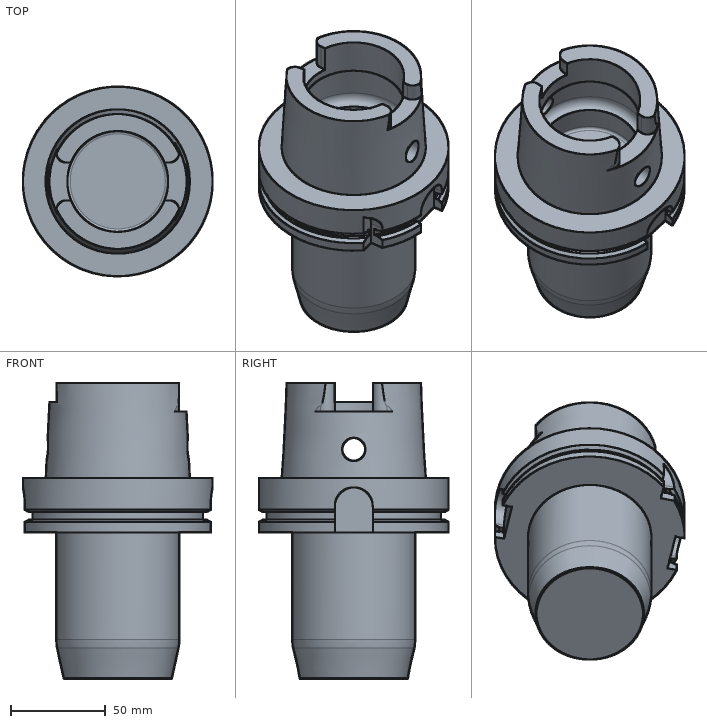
import cadquery as cq
import math


flange_radius = 99.93 / 2
flange_height = 28.7
groove_center_z = -20.0
groove_floor_radius = 46.0
groove_width = 4.0
groove_chamfer_height = 1.3
groove_chamfer_angle = 30.0

shank_length = 50.0
taper_base_radius = 38.0
taper_top_radius = 35.5

nose_radius = 32.5
nose_bottom_z = -105.9
nose_blend_top_z = -85.0
nose_blend_bottom_z = -89.5
nose_cone_angle = 12.0
nose_tip_chamfer = 0.5

mouth_radius = 53.06 / 2
mouth_bottom_z = 30.0
chamber_radius = 63.09 / 2
chamber_round_top_z = 9.6
chamber_bottom_z = chamber_round_top_z - (chamber_radius - mouth_radius)
pocket_round_radius = 1.5
pocket_bottom_z = -11.7

cross_hole_diameter = 12.0
cross_hole_z = 15.0

drive_slot_width = 20.0
drive_slot_depth_left = 10.0
drive_slot_depth_right = 15.0
drive_corner_radius = 5.0
drive_corner_reach = 32.25
drive_flat_length = 6.0

keyway_width = 20.0
keyway_top_z = -5.0
keyway_floor_distance = 44.0
side_notch_center_y = 41.5
side_notch_floor_distance = 31.6


def make_body():
    """Revolve the solid outer shape."""
    groove_top_z = groove_center_z + groove_width / 2
    groove_bottom_z = groove_center_z - groove_width / 2
    groove_chamfer_reach = groove_chamfer_height / math.tan(math.radians(groove_chamfer_angle))
    groove_lip_radius = flange_radius - groove_chamfer_reach
    cone_angle = math.radians(nose_cone_angle)
    blend_length = nose_blend_top_z - nose_blend_bottom_z
    blend_bottom_radius = nose_radius - blend_length * math.tan(cone_angle / 2)
    tip_radius = blend_bottom_radius - (nose_blend_bottom_z - nose_bottom_z) * math.tan(cone_angle)
    profile = (
        cq.Workplane("XZ")
        .moveTo(0, shank_length)
        .lineTo(taper_top_radius, shank_length)
        .lineTo(taper_base_radius, 0)
        .lineTo(flange_radius, 0)
        .lineTo(flange_radius, groove_top_z + groove_chamfer_height)
        .lineTo(groove_lip_radius, groove_top_z)
        .lineTo(groove_floor_radius, groove_top_z)
        .lineTo(groove_floor_radius, groove_bottom_z)
        .lineTo(groove_lip_radius, groove_bottom_z)
        .lineTo(flange_radius, groove_bottom_z - groove_chamfer_height)
        .lineTo(flange_radius, -flange_height)
        .lineTo(nose_radius, -flange_height)
        .lineTo(nose_radius, nose_blend_top_z)
        .tangentArcPoint((blend_bottom_radius, nose_blend_bottom_z), relative=False)
        .lineTo(tip_radius, nose_bottom_z + nose_tip_chamfer)
        .lineTo(tip_radius - nose_tip_chamfer, nose_bottom_z)
        .lineTo(0, nose_bottom_z)
        .close()
    )
    return profile.revolve(360, (0, 0, 0), (0, 1, 0))


def make_bore():
    """Revolve the blind bore, with its chamber and pocket rounded at the bottom."""
    pocket_flat_radius = mouth_radius - pocket_round_radius
    profile = (
        cq.Workplane("XZ")
        .moveTo(0, shank_length)
        .lineTo(mouth_radius, shank_length)
        .lineTo(mouth_radius, mouth_bottom_z)
        .lineTo(chamber_radius, mouth_bottom_z)
        .lineTo(chamber_radius, chamber_round_top_z)
        .tangentArcPoint((mouth_radius, chamber_bottom_z), relative=False)
        .lineTo(mouth_radius, pocket_bottom_z + pocket_round_radius)
        .tangentArcPoint((pocket_flat_radius, pocket_bottom_z), relative=False)
        .lineTo(0, pocket_bottom_z)
        .close()
    )
    return profile.revolve(360, (0, 0, 0), (0, 1, 0))


def make_cross_hole():
    """Hole along X through both walls of the shank."""
    return (
        cq.Workplane("YZ")
        .center(0, cross_hole_z)
        .circle(cross_hole_diameter / 2)
        .extrude(flange_radius, both=True)
    )


def make_drive_slot(side, depth):
    """Slot in the rim on the +X (side = 1) or -X (side = -1) wall, with rounded land corners.

    Each rounding runs on until it is square to the radius from the part axis, then goes straight.
    """
    half_width = drive_slot_width / 2
    corner_x = drive_corner_reach - drive_corner_radius
    corner_y = half_width + drive_corner_radius
    end_angle = math.atan2(corner_y, corner_x)
    middle_angle = (end_angle - math.pi / 2) / 2

    def corner_point(angle, y_sign):
        """Point on the rounding at an angle measured from the X axis."""
        x = corner_x + drive_corner_radius * math.cos(angle)
        y = corner_y + drive_corner_radius * math.sin(angle)
        return (side * x, y_sign * y)

    flat_end_x = side * (corner_x + drive_corner_radius * math.cos(end_angle)
                         - drive_flat_length * math.sin(end_angle))
    flat_end_y = (corner_y + drive_corner_radius * math.sin(end_angle)
                  + drive_flat_length * math.cos(end_angle))
    return (
        cq.Workplane("XY")
        .workplane(offset=shank_length - depth)
        .moveTo(0, -half_width)
        .lineTo(side * corner_x, -half_width)
        .threePointArc(corner_point(middle_angle, -1), corner_point(end_angle, -1))
        .lineTo(flat_end_x, -flat_end_y)
        .lineTo(side * flange_radius, -flat_end_y)
        .lineTo(side * flange_radius, flat_end_y)
        .lineTo(flat_end_x, flat_end_y)
        .lineTo(*corner_point(end_angle, 1))
        .threePointArc(corner_point(middle_angle, 1), (side * corner_x, half_width))
        .lineTo(0, half_width)
        .close()
        .extrude(depth)
    )


def make_keyway(side, center_y, floor_distance):
    """Round-topped keyway cut along X, open at the rim and at the underside of the flange."""
    half_width = keyway_width / 2
    arch_z = keyway_top_z - half_width
    return (
        cq.Workplane("YZ")
        .workplane(offset=side * floor_distance)
        .moveTo(center_y - half_width, -flange_height)
        .lineTo(center_y - half_width, arch_z)
        .threePointArc((center_y, keyway_top_z), (center_y + half_width, arch_z))
        .lineTo(center_y + half_width, -flange_height)
        .close()
        .extrude(side * flange_radius)
    )


result = make_body().cut(make_bore()).cut(make_cross_hole())
result = result.cut(make_drive_slot(-1, drive_slot_depth_left))
result = result.cut(make_drive_slot(1, drive_slot_depth_right))
for keyway_side in (-1, 1):
    result = result.cut(make_keyway(keyway_side, 0, keyway_floor_distance))
result = result.cut(make_keyway(-1, side_notch_center_y, side_notch_floor_distance))